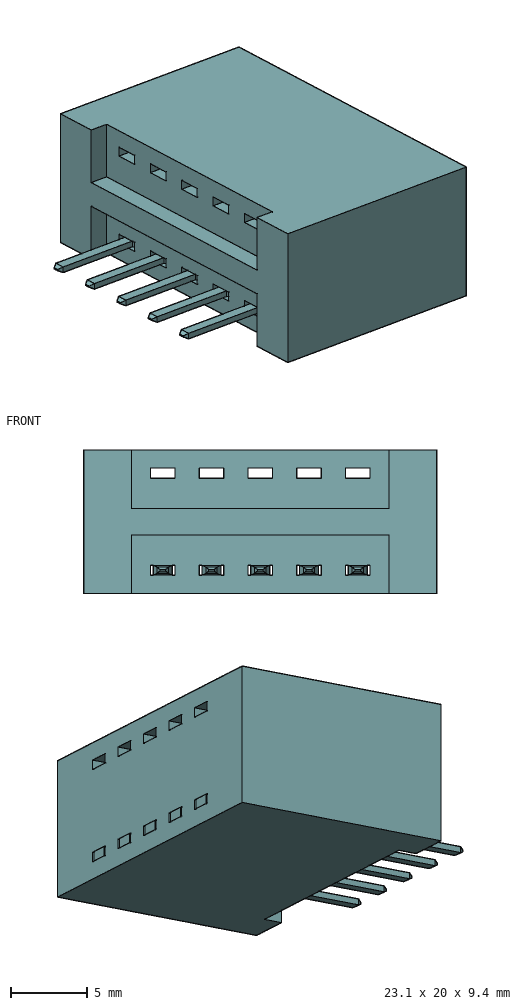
import cadquery as cq

housing_width = 23.1
housing_depth = 15.28
housing_height = 9.4

recess_width = 16.82
recess_height = 3.84
recess_depth = 1.32

contact_count = 5
contact_pitch = 3.2
slot_width = 1.57
slot_height = 0.65
slot_row_inset = 1.53

tail_length = 4.74
tail_width = 0.75
tail_height = 0.42
tip_length = 0.3
tip_width = 0.37
tip_height = 0.1
flare_inset = 0.18
flare_length = 0.46
blade_width = 1.25
blade_height = slot_height

lower_row_z = slot_row_inset
upper_row_z = housing_height - slot_row_inset
contact_xs = [(i - (contact_count - 1) / 2) * contact_pitch for i in range(contact_count)]


def box_from(width, depth, height, x, y, z):
    """Box centred on x, starting at y and running toward +Y, with its underside at z."""
    return cq.Workplane("XY").box(width, depth, height, centered=(True, False, False)).translate((x, y, z))


def bar(width, height, start_y, end_y):
    """Straight rectangular bar along Y, centred on the Y axis."""
    return box_from(width, end_y - start_y, height, 0, start_y, -height / 2)


def taper(start_size, end_size, start_y, end_y):
    """Rectangular frustum along Y between two (width, height) sections."""
    return (
        cq.Workplane("XZ", origin=(0, start_y, 0))
        .rect(*start_size)
        .workplane(offset=start_y - end_y)
        .rect(*end_size)
        .loft(ruled=True)
    )


def make_housing():
    body = box_from(housing_width, housing_depth, housing_height, 0, 0, 0)
    for recess_z in (0, housing_height - recess_height):
        body = body.cut(box_from(recess_width, recess_depth, recess_height, 0, 0, recess_z))
    for row_z in (lower_row_z, upper_row_z):
        for x in contact_xs:
            body = body.cut(bar(slot_width, slot_height, 0, housing_depth).translate((x, 0, row_z)))
    return body


def make_pin(x):
    tip_start = -tail_length
    tail_start = tip_start + tip_length
    flare_start = recess_depth + flare_inset
    blade_start = flare_start + flare_length
    tail_section = (tail_width, tail_height)

    pin = bar(tail_width, tail_height, tail_start, flare_start)
    pin = pin.union(taper((tip_width, tip_height), tail_section, tip_start, tail_start))
    pin = pin.union(taper(tail_section, (blade_width, blade_height), flare_start, blade_start))
    pin = pin.union(bar(blade_width, blade_height, blade_start, housing_depth))
    return pin.translate((x, 0, lower_row_z))


housing = make_housing()
pins = [make_pin(x) for x in contact_xs]

result = cq.Compound.makeCompound([housing.solids().val(), *[pin.solids().val() for pin in pins]])